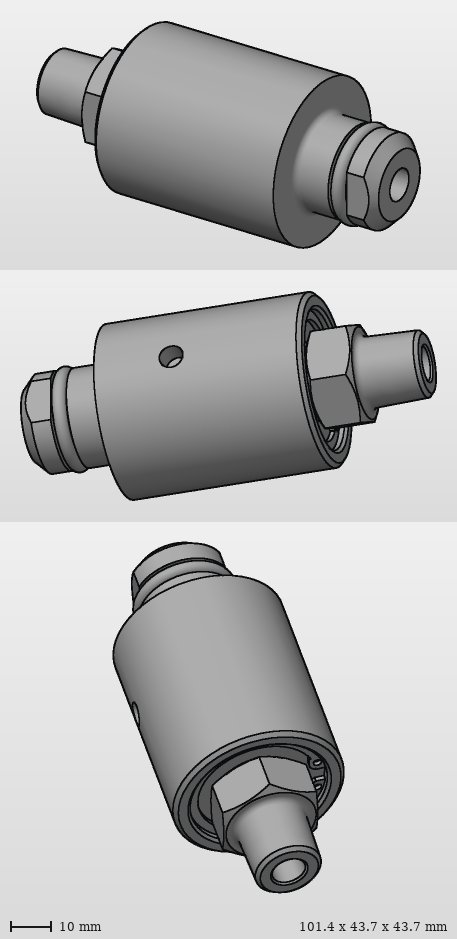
import cadquery as cq
import math

total_length = 101.39

spigot_tip_chamfer = 1.0
spigot_tip_radius = 8.42
spigot_taper = 1 / 32
spigot_end_x = 14.25
spigot_end_radius = spigot_tip_radius + spigot_taper * (spigot_end_x - spigot_tip_chamfer)

hex_sides = 6
hex_across_flats = 24.0
hex_start_x = 15.87
hex_end_x = 27.6
hex_corner_radius = hex_across_flats / 2 / math.cos(math.pi / hex_sides)
hex_face_radius = 11.5
hex_shank_radius = 19.84 / 2
hex_chamfer_angle = math.radians(30)
hex_chamfer_length = (hex_corner_radius - hex_face_radius) * math.tan(hex_chamfer_angle)
neck_fillet = hex_start_x - spigot_end_x

body_radius = 43.74 / 2
body_start_x = 25.8
body_end_x = 78.8
body_chamfer = 1.1

recess_radius = 35.08 / 2
recess_mouth_radius = 18.3
ring_front_x = 27.9
ring_thickness = 1.2
recess_floor_x = ring_front_x + ring_thickness

ring_inner_radius = 15.15
ring_gap = 4.5
lug_inner_y = 13.25
lug_corner_radius = 2.3
lug_height = 4.35
lug_hole_diameter = 1.98
lug_hole_y = 15.4
lug_hole_z = 4.65

plug_radius = 24.95 / 2
plug_root_fillet = 1.7
groove_start_x = 88.7
groove_end_x = 93.2
groove_radius = 19.23 / 2
o_ring_section = 3.58
o_ring_x = (groove_start_x + groove_end_x) / 2
o_ring_squeeze = 0.03
plug_chamfer = 3.2
flats_across = 22.0

bore_diameter = 8.5
bore_mouth_chamfer = 0.5
side_hole_diameter = 6.0
side_hole_x = 58.95
side_hole_depth = 6.0


def cylinder(radius, start_x, end_x):
    return cq.Workplane("YZ").workplane(offset=start_x).circle(radius).extrude(end_x - start_x)


def turned(profile):
    """Revolve a closed (x, radius) profile about the X axis."""
    return profile.close().revolve(360, (0, 0, 0), (1, 0, 0))


def make_spigot():
    profile = (
        cq.Workplane("XY")
        .moveTo(0, 0)
        .lineTo(0, spigot_tip_radius - spigot_tip_chamfer)
        .lineTo(spigot_tip_chamfer, spigot_tip_radius)
        .lineTo(spigot_end_x, spigot_end_radius)
        .radiusArc((hex_start_x, spigot_end_radius + neck_fillet), -neck_fillet)
        .lineTo(hex_start_x, 0)
    )
    return turned(profile)


def make_hexagon():
    prism = (
        cq.Workplane("YZ")
        .workplane(offset=hex_start_x)
        .polygon(hex_sides, 2 * hex_corner_radius)
        .extrude(hex_end_x - hex_start_x)
        .rotate((0, 0, 0), (1, 0, 0), 90)
    )
    envelope = (
        cq.Workplane("XY")
        .moveTo(hex_start_x, 0)
        .lineTo(hex_start_x, hex_face_radius)
        .lineTo(hex_start_x + hex_chamfer_length, hex_corner_radius)
        .lineTo(hex_end_x - hex_chamfer_length, hex_corner_radius)
        .lineTo(hex_end_x, hex_face_radius)
        .lineTo(hex_end_x, 0)
    )
    shank = cylinder(hex_shank_radius, hex_end_x, recess_floor_x)
    return prism.intersect(turned(envelope)).union(shank)


def make_body():
    mouth_depth = recess_mouth_radius - recess_radius
    profile = (
        cq.Workplane("XY")
        .moveTo(recess_floor_x, 0)
        .lineTo(recess_floor_x, recess_radius)
        .lineTo(body_start_x + mouth_depth, recess_radius)
        .lineTo(body_start_x, recess_mouth_radius)
        .lineTo(body_start_x, body_radius - body_chamfer)
        .lineTo(body_start_x + body_chamfer, body_radius)
        .lineTo(body_end_x, body_radius)
        .lineTo(body_end_x, 0)
    )
    return turned(profile)


def make_retaining_ring():
    plane = cq.Workplane("YZ").workplane(offset=ring_front_x)
    ring = plane.circle(recess_radius).circle(ring_inner_radius).extrude(ring_thickness)
    lug_length = recess_radius - lug_inner_y
    disc = cylinder(recess_radius, ring_front_x, recess_floor_x)
    for side in (1, -1):
        lug = (
            plane.center(-lug_inner_y - lug_length / 2, side * (ring_gap + lug_height) / 2)
            .rect(lug_length, lug_height)
            .extrude(ring_thickness)
            .edges("|X and >Y")
            .edges("<Z" if side > 0 else ">Z")
            .fillet(lug_corner_radius)
        )
        ring = ring.union(lug.intersect(disc))
    gap = cq.Workplane("XY").box(ring_thickness, recess_radius, ring_gap).translate(
        (ring_front_x + ring_thickness / 2, -recess_radius, 0)
    )
    holes = plane.pushPoints([(-lug_hole_y, lug_hole_z), (-lug_hole_y, -lug_hole_z)])
    return ring.cut(gap).cut(holes.circle(lug_hole_diameter / 2).extrude(ring_thickness))


def make_plug():
    profile = (
        cq.Workplane("XY")
        .moveTo(body_end_x, 0)
        .lineTo(body_end_x, plug_radius + plug_root_fillet)
        .radiusArc((body_end_x + plug_root_fillet, plug_radius), -plug_root_fillet)
        .lineTo(groove_start_x, plug_radius)
        .lineTo(groove_start_x, groove_radius)
        .lineTo(groove_end_x, groove_radius)
        .lineTo(groove_end_x, plug_radius)
        .lineTo(total_length - plug_chamfer, plug_radius)
        .lineTo(total_length, plug_radius - plug_chamfer)
        .lineTo(total_length, 0)
    )
    plug = turned(profile)
    flat_length = total_length - groove_end_x
    for side in (1, -1):
        waste = cq.Workplane("XY").box(flat_length, plug_radius, 2 * plug_radius).translate(
            (groove_end_x + flat_length / 2, side * (flats_across + plug_radius) / 2, 0)
        )
        plug = plug.cut(waste)
    return plug


def make_o_ring():
    section_radius = o_ring_section / 2
    ring_radius = groove_radius + section_radius - o_ring_squeeze
    plane = cq.Plane(origin=(o_ring_x, ring_radius, 0), xDir=(0, -1, 0), normal=(0, 0, 1))
    section = cq.Workplane(plane).circle(section_radius)
    return section.revolve(360, (ring_radius, 0, 0), (ring_radius, 1, 0))


def make_bore():
    mouth = cq.Workplane("YZ").circle(bore_diameter / 2 + bore_mouth_chamfer)
    mouth = mouth.workplane(offset=bore_mouth_chamfer).circle(bore_diameter / 2).loft()
    return cylinder(bore_diameter / 2, 0, total_length).union(mouth)


def make_side_hole():
    return (
        cq.Workplane("XZ", origin=(side_hole_x, body_radius, 0))
        .circle(side_hole_diameter / 2)
        .extrude(side_hole_depth)
    )


result = make_body()
for piece in (make_hexagon(), make_spigot(), make_retaining_ring(), make_plug(), make_o_ring()):
    result = result.union(piece)
result = result.cut(make_bore()).cut(make_side_hole())